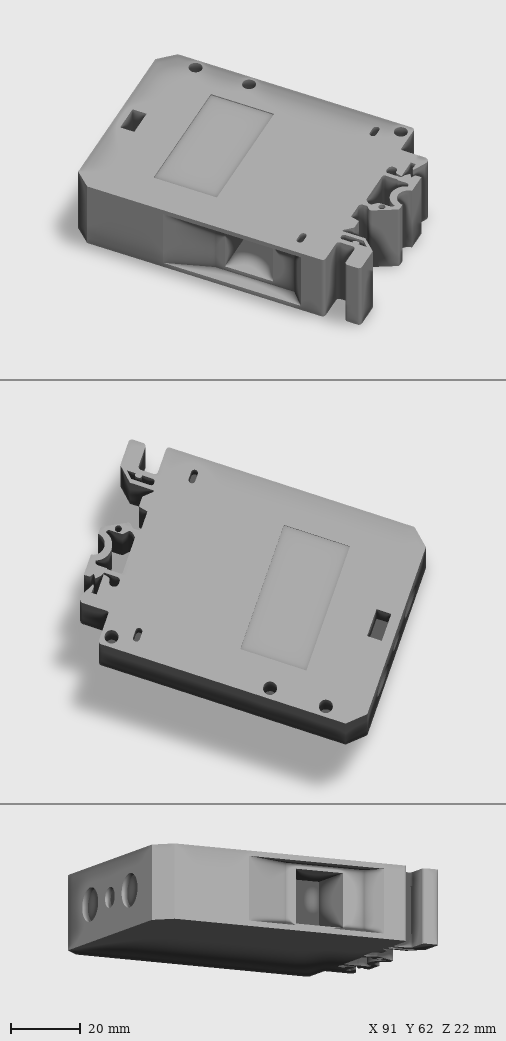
import cadquery as cq
import math

total_length = 91.0
width = 62.0
thickness = 22.0
half_width = width / 2
mid_height = thickness / 2
back_x = 80.1
chamfer_x = 5.0
chamfer_y = 4.6
corner_radius = 1.0

hook_top = 21.0
hook_slot_left = 85.1
hook_slot_right = 86.6
hook_slot_end = 17.3
spring_top = 10.5
spring_back_x = 90.45
barb_y = 12.9
groove_x = 79.2
leg_left = 85.9
leg_bottom = -29.85
arm_top = -17.4
arm_bottom = -22.0
leg_corner_height = 4.0

seat_y = 3.3
seat_center_x = 90.8
seat_radius = 3.3
seat_back_center_x = 90.1
seat_back_radius = 4.7
spring_hole_center = (85.45, -3.3)
spring_hole_radius = 1.0

arm_slot_top = -18.6
arm_slot_bottom = -20.6
arm_slot_end_radius = 0.8
bump_left = 84.1
bump_right = 86.1
bump_top = -19.6
bump_radius = 0.6

pin_hole_xs = (12.0, 28.9, 77.0)
pin_hole_y = 27.9
pin_hole_diameter = 4.0
pin_hole_depth = 10.0
key_slot_x = 70.1
key_slot_y = 24.9
key_slot_length = 4.2
key_slot_width = 2.0
key_slot_depth = 5.0
label_center_x = 30.8
label_length = 20.0
label_width = 39.1
label_depth = 0.4
latch_center_x = 5.3
latch_length = 4.5
latch_width = 8.5
latch_depth = 10.0

cable_hole_diameter = 10.0
cable_hole_y = 12.4
screw_hole_diameter = 6.1
left_hole_depth = 1.8

recess_left = 29.0
recess_floor_left = 43.4
recess_floor_right = 68.4
recess_right = 72.6
recess_depth = 4.6
recess_margin = 1.55
window_left = 46.5
window_right = 61.7
window_margin = 3.0
window_depth = 15.0


def rounded_prism(corners, height):
    """Extrude a closed outline of (x, y, radius) corners; radius 0 is sharp."""
    rounded_corners = []
    for i, (x, y, radius) in enumerate(corners):
        before = corners[i - 1]
        after = corners[(i + 1) % len(corners)]
        corner = cq.Vector(x, y)
        to_before = (cq.Vector(before[0], before[1]) - corner).normalized()
        to_after = (cq.Vector(after[0], after[1]) - corner).normalized()
        half_angle = to_before.getAngle(to_after) / 2
        setback = radius / math.tan(half_angle)
        bisector = (to_before + to_after).normalized()
        mid_distance = radius / math.sin(half_angle) - radius
        rounded_corners.append((
            corner + to_before * setback,
            corner + bisector * mid_distance,
            corner + to_after * setback,
            radius,
        ))
    outline = cq.Workplane("XY").moveTo(*rounded_corners[0][2].toTuple()[:2])
    for start, middle, end, radius in rounded_corners[1:] + rounded_corners[:1]:
        outline = outline.lineTo(start.x, start.y)
        if radius > 0:
            outline = outline.threePointArc((middle.x, middle.y), (end.x, end.y))
    return outline.close().extrude(height)


def housing_profile():
    """Block and rail clips in one outline, clockwise from the left chamfer."""
    corners = [
        (0, -half_width + chamfer_y, 0),
        (0, half_width - chamfer_y, 0),
        (chamfer_x, half_width, 0),
        (back_x, half_width, corner_radius),
        (back_x, hook_top, 0.55),
        (89.6, hook_top, 1.4),
        (89.0, 18.6, 0.5),
        (87.0, 14.7, 0),
        (hook_slot_right, 15.1, 0),
        (hook_slot_right, hook_slot_end, 0),
        (hook_slot_left, hook_slot_end, 0),
        (hook_slot_left, 10.9, 0),
        (82.9, 11.5, 0.9),
        (82.9, 13.6, 1.3),
        (back_x, 13.6, 1.4),
        (back_x, spring_top, 1.0),
        (85.2, spring_top, 0),
        (85.7, 11.65, 0),
        (86.9, barb_y, 0),
        (87.9, 11.65, 0),
        (88.5, barb_y, 0),
        (spring_back_x, barb_y, 0),
        (spring_back_x, -2.2, 0.9),
        (82.9, -6.2, 0.9),
        (81.5, -4.7, 0.55),
        (groove_x, -4.7, 1.1),
        (groove_x, -10.8, 0),
        (82.0, -11.5, 0),
        (82.0, -14.6, 0),
        (79.4, -16.9, 0),
        (79.4, arm_top, 0),
        (86.7, arm_top, 0),
        (total_length, -21.5, 0),
        (total_length, leg_bottom, corner_radius),
        (leg_left, leg_bottom, corner_radius),
        (leg_left, arm_bottom, 0),
        (back_x, arm_bottom, corner_radius),
        (back_x, -half_width, corner_radius),
        (chamfer_x, -half_width, 0),
    ]
    return rounded_prism(corners, thickness)


def vertical_cylinder(x, y, radius):
    return cq.Workplane("XY").center(x, y).circle(radius).extrude(thickness)


def spring_cavity():
    """Opening behind the spring arm, bounded by the back of the curved seat."""
    corners = [
        (back_x, 9.2, 0.6),
        (84.6, 9.2, 0),
        (84.8, 8.9, 0),
        (88.5, 8.9, 1.0),
        (88.5, -2.1, 1.0),
        (83.8, -2.1, 0),
        (82.3, -3.7, 0.55),
        (81.35, -3.55, 0.5),
        (back_x, -2.4, 0.5),
    ]
    seat_back = vertical_cylinder(seat_back_center_x, seat_y, seat_back_radius)
    return rounded_prism(corners, thickness).cut(seat_back)


def arm_slot():
    corners = [
        (back_x, arm_slot_top, arm_slot_end_radius),
        (86.7, arm_slot_top, 0),
        (88.6, arm_slot_bottom, 0),
        (bump_right, arm_slot_bottom, 0),
        (bump_right, bump_top, bump_radius),
        (bump_left, bump_top, bump_radius),
        (bump_left, arm_slot_bottom, 0),
        (back_x, arm_slot_bottom, arm_slot_end_radius),
    ]
    return rounded_prism(corners, thickness)


def leg_corner_fillets():
    """Concave rounding between arm and leg, left square at mid thickness."""
    corner = (
        cq.Workplane("XY")
        .moveTo(leg_left, arm_bottom)
        .lineTo(leg_left, arm_bottom - corner_radius)
        .radiusArc((leg_left - corner_radius, arm_bottom), -corner_radius)
        .close()
        .extrude(leg_corner_height)
    )
    return corner.union(corner.translate((0, 0, thickness - leg_corner_height)))


def front_recess():
    front_y = -half_width
    sloped_part = (
        cq.Workplane("XY", origin=(0, 0, recess_margin))
        .polyline([
            (recess_left, front_y),
            (recess_floor_left, front_y + recess_depth),
            (recess_floor_right, front_y + recess_depth),
            (recess_right, front_y),
        ])
        .close()
        .extrude(thickness - 2 * recess_margin)
    )
    window = cq.Workplane("XY").box(
        window_right - window_left,
        window_depth,
        thickness - 2 * window_margin,
        centered=False,
    ).translate((window_left, front_y + recess_depth, window_margin))
    return sloped_part.union(window)


def upper_face_recesses():
    upper_face = cq.Workplane("XY", origin=(0, 0, thickness))
    pin_holes = (
        upper_face.pushPoints([(x, pin_hole_y) for x in pin_hole_xs])
        .circle(pin_hole_diameter / 2)
        .extrude(-pin_hole_depth)
    )
    key_slots = (
        upper_face.pushPoints([(key_slot_x, key_slot_y), (key_slot_x, -key_slot_y)])
        .slot2D(key_slot_length, key_slot_width, 90)
        .extrude(-key_slot_depth)
    )
    label = upper_face.center(label_center_x, 0).rect(label_length, label_width).extrude(-label_depth)
    latch = upper_face.center(latch_center_x, 0).rect(latch_length, latch_width).extrude(-latch_depth)
    return pin_holes.union(key_slots).union(label).union(latch)


def left_face_holes():
    left_face = cq.Workplane("YZ", origin=(0, 0, mid_height))
    cable_holes = (
        left_face.pushPoints([(-cable_hole_y, 0), (cable_hole_y, 0)])
        .circle(cable_hole_diameter / 2)
        .extrude(left_hole_depth)
    )
    screw_hole = left_face.circle(screw_hole_diameter / 2).extrude(left_hole_depth)
    return cable_holes.union(screw_hole)


result = (
    housing_profile()
    .cut(vertical_cylinder(seat_center_x, seat_y, seat_radius))
    .cut(spring_cavity())
    .cut(vertical_cylinder(*spring_hole_center, spring_hole_radius))
    .cut(arm_slot())
    .union(leg_corner_fillets())
    .cut(front_recess())
    .cut(upper_face_recesses())
    .cut(left_face_holes())
)